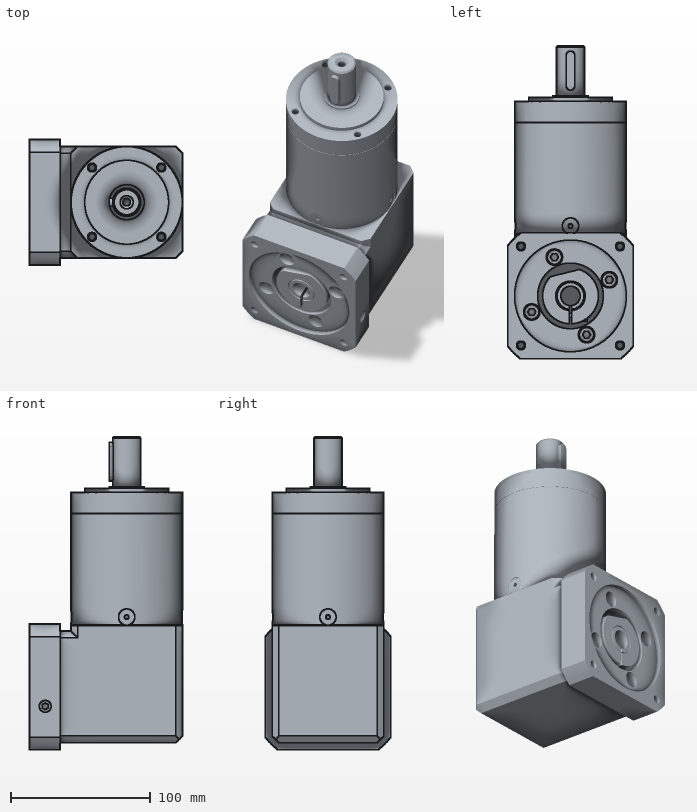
import cadquery as cq
import math


overall_height = 224.0
overall_length = 109.5
flange_side = 90.0
body_side = 80.0
body_radius = body_side / 2
flange_bottom_z = -flange_side / 2
shaft_top_z = flange_bottom_z + overall_height
input_face_x = body_radius - overall_length

housing_chamfer = 5.0
tower_top_z = 44.0

flange_thickness = 22.0
flange_corner_radius = 57.5
flange_back_x = input_face_x + flange_thickness
motor_pilot_radius = body_radius
motor_pilot_depth = 3.5
pilot_floor_x = input_face_x + motor_pilot_depth
motor_hole_spacing = 70.8
motor_hole_depth = 20.2

thread_core_radius = 2.5
thread_entry_chamfer = 0.7

flange_screw_circle_radius = 30.0
flange_screw_count = 4
flange_screw_first_angle = 22.5
flange_screw_hole_radius = 5.8
flange_screw_head_radius = 5.2
flange_screw_hole_depth = flange_thickness - motor_pilot_depth
flange_screw_head_depth = 6.7
flange_screw_hex_width = 5.0
flange_screw_hex_depth = 2.2

hub_radius = 20.0
hub_pocket_radius = 23.5
hub_flat_distance = 16.8
hub_flat_tilt = 14.0
sleeve_radius = 9.6
sleeve_groove_radius = 10.5
sleeve_groove_depth = 1.1
input_bore_radius = 7.0
input_bore_depth = 26.9
hub_slot_width = 2.0

clamp_screw_x = -58.2
clamp_screw_z = -14.0
clamp_hole_radius = 4.3
clamp_head_radius = 4.3
clamp_head_y = -11.9
clamp_shank_radius = 1.5
clamp_plug_recess = 2.2
clamp_plug_hex_width = 4.3
clamp_plug_hex_depth = 2.2

case_top_z = 139.0
case_seam_z = 123.6
seam_height = 0.7
seam_depth = 0.2
plug_height_above_tower = 6.0
plug_radius = 5.8
plug_recess = 0.7
plug_hole_radius = 1.5
plug_hole_depth = 2.2

output_pilot_radius = 30.0
output_pilot_height = 3.0
collar_radius = 12.5
collar_height = 1.1
output_hole_spacing = 49.5
output_hole_depth = 10.0

shaft_radius = 10.0
shaft_chamfer = 1.1
key_width = 6.0
key_length = 28.0
key_center_z = 161.0
key_outer_radius = 12.5
key_seat_radius = 6.0
center_hole_radius = 2.7
center_hole_depth = 13.5
center_sink_radius = 4.7
drill_tip_half_angle = 59.0


def cylinder_x(radius, start_x, length, y=0.0, z=0.0):
    """Cylinder that runs toward +X from start_x."""
    return cq.Workplane("YZ", origin=(start_x, y, z)).circle(radius).extrude(length)


def cylinder_y(radius, start_y, end_y, x, z):
    """Cylinder that runs along Y from start_y to end_y, with start_y below end_y."""
    plane = cq.Plane(origin=(x, start_y, z), xDir=(1, 0, 0), normal=(0, 1, 0))
    return cq.Workplane(plane).circle(radius).extrude(end_y - start_y)


def cylinder_z(radius, start_z, height):
    """Cylinder on the output axis that runs toward +Z from start_z."""
    return cq.Workplane("XY", origin=(0, 0, start_z)).circle(radius).extrude(height)


def box_between(low, high):
    """Box with opposite corners at low and high."""
    size = [b - a for a, b in zip(low, high)]
    return cq.Workplane("XY").box(*size, centered=False).translate(low)


def hexagon_diameter(width):
    """Corner-to-corner diameter of a hexagon with the given width across flats."""
    return width / math.cos(math.radians(30))


def threaded_hole_cutters(plane, spacing, depth):
    """Four holes with chamfered entries at the corners of a square, cut along the plane's normal."""
    chamfer_radius = thread_core_radius + thread_entry_chamfer
    corners = plane.rect(spacing, spacing, forConstruction=True).vertices()
    entry = cq.Solid.makeCone(chamfer_radius, thread_core_radius, thread_entry_chamfer)
    core = cq.Solid.makeCylinder(thread_core_radius, depth)
    cutter = core.fuse(entry)
    return corners.eachpoint(cutter, useLocalCoordinates=True)


def make_housing():
    """Chamfered input block with an upright square tower rising from it."""
    full_block = box_between(
        (flange_back_x, -body_radius, -body_radius), (body_radius, body_radius, body_radius)
    )
    block = full_block
    for edges in ("|X", "|Y and >X", "|Z and >X"):
        block = block.intersect(full_block.edges(edges).chamfer(housing_chamfer))
    tower = cq.Workplane("XY").rect(body_side, body_side).extrude(tower_top_z)
    tower = tower.edges("|Z").chamfer(housing_chamfer)
    return block.union(tower)


def make_flange():
    """Square motor flange with corners turned to a common radius."""
    square = cq.Workplane("YZ", origin=(input_face_x, 0, 0)).rect(flange_side, flange_side)
    square = square.extrude(flange_thickness)
    return square.intersect(cylinder_x(flange_corner_radius, input_face_x, flange_thickness))


def make_gear_case():
    """Round case with two seam grooves, the output pilot and the shaft collar."""
    case = cylinder_z(body_radius, tower_top_z, case_top_z - tower_top_z)
    for seam_z in (tower_top_z, case_seam_z):
        ring = cylinder_z(body_radius, seam_z, seam_height)
        case = case.cut(ring.cut(cylinder_z(body_radius - seam_depth, seam_z, seam_height)))
    pilot = cylinder_z(output_pilot_radius, case_top_z, output_pilot_height)
    collar = cylinder_z(collar_radius, case_top_z, output_pilot_height + collar_height)
    return case.union(pilot).union(collar)


def make_shaft():
    """Output shaft with a raised key on its -X side and a countersunk centre hole."""
    shaft = cylinder_z(shaft_radius, case_top_z, shaft_top_z - case_top_z)
    shaft = shaft.faces(">Z").edges().chamfer(shaft_chamfer)
    key = (
        cq.Workplane("YZ", origin=(-key_outer_radius, 0, key_center_z))
        .slot2D(key_length, key_width, 90)
        .extrude(key_outer_radius - key_seat_radius)
    )
    hole_bottom_z = shaft_top_z - center_hole_depth
    tip_length = center_hole_radius / math.tan(math.radians(drill_tip_half_angle))
    sink_depth = center_sink_radius - center_hole_radius
    hole = (
        cq.Workplane("XZ")
        .moveTo(0, hole_bottom_z - tip_length)
        .lineTo(center_hole_radius, hole_bottom_z)
        .lineTo(center_hole_radius, shaft_top_z - sink_depth)
        .lineTo(center_sink_radius, shaft_top_z)
        .lineTo(0, shaft_top_z)
        .close()
        .revolve(360, (0, 0), (0, 1))
    )
    return shaft.union(key).cut(hole)


def cut_case_plugs(part):
    """Sink four round flats, each with a small centre hole, into the foot of the gear case."""
    plug_z = tower_top_z + plug_height_above_tower
    floor_radius = body_radius - plug_recess
    plug = cylinder_x(plug_radius, floor_radius, 2 * plug_recess, z=plug_z)
    hole = cylinder_x(plug_hole_radius, floor_radius - plug_hole_depth, plug_hole_depth, z=plug_z)
    cutter = plug.union(hole)
    for angle in (0, 90, 180, 270):
        part = part.cut(cutter.rotate((0, 0, 0), (0, 0, 1), angle))
    return part


def cut_hub(part):
    """Cut the pilot recess and leave the slotted clamping hub standing in its pocket."""
    hub_length = flange_back_x - pilot_floor_x
    part = part.cut(cylinder_x(motor_pilot_radius, input_face_x, motor_pilot_depth))

    pocket = cylinder_x(hub_pocket_radius, pilot_floor_x, hub_length)
    part = part.cut(pocket.cut(cylinder_x(hub_radius, pilot_floor_x, hub_length)))

    flat = box_between(
        (pilot_floor_x, -hub_radius, hub_flat_distance),
        (flange_back_x, hub_radius, hub_radius),
    )
    flat = flat.rotate((0, 0, 0), (1, 0, 0), -hub_flat_tilt)
    part = part.cut(flat.intersect(pocket))

    groove = cylinder_x(sleeve_groove_radius, pilot_floor_x, sleeve_groove_depth)
    groove = groove.cut(cylinder_x(sleeve_radius, pilot_floor_x, sleeve_groove_depth))
    bore = cylinder_x(input_bore_radius, pilot_floor_x, input_bore_depth)
    slot = box_between(
        (pilot_floor_x, -hub_slot_width / 2, -hub_radius), (flange_back_x, hub_slot_width / 2, 0)
    )
    return part.cut(groove).cut(bore).cut(slot)


def add_clamp_screw(part):
    """Let the clamp screw stand out of the hub and cross its slot, and recess the plug."""
    head = cylinder_y(clamp_head_radius, clamp_head_y, -hub_slot_width, clamp_screw_x, clamp_screw_z)
    shank = cylinder_y(
        clamp_shank_radius, -hub_slot_width, hub_slot_width, clamp_screw_x, clamp_screw_z
    )
    plug_y = -flange_side / 2 + clamp_plug_recess
    recess = cylinder_y(clamp_hole_radius, -flange_side / 2, plug_y, clamp_screw_x, clamp_screw_z)
    socket_plane = cq.Plane(
        origin=(clamp_screw_x, plug_y, clamp_screw_z), xDir=(0, 0, 1), normal=(0, 1, 0)
    )
    socket = cq.Workplane(socket_plane).polygon(6, hexagon_diameter(clamp_plug_hex_width))
    socket = socket.extrude(clamp_plug_hex_depth)
    return part.union(head).union(shank).cut(recess).cut(socket)


def add_flange_screws(part):
    """Counterbore the pilot floor and leave a socket screw head in each hole."""
    head_x = pilot_floor_x + flange_screw_head_depth
    hole_end_x = pilot_floor_x + flange_screw_hole_depth
    for index in range(flange_screw_count):
        angle = math.radians(flange_screw_first_angle + index * 360 / flange_screw_count)
        y = -flange_screw_circle_radius * math.cos(angle)
        z = flange_screw_circle_radius * math.sin(angle)
        hole = cylinder_x(flange_screw_hole_radius, pilot_floor_x, flange_screw_hole_depth, y, z)
        head = cylinder_x(flange_screw_head_radius, head_x, hole_end_x - head_x, y, z)
        socket = cq.Workplane("YZ", origin=(head_x, y, z))
        socket = socket.polygon(6, hexagon_diameter(flange_screw_hex_width))
        socket = socket.extrude(flange_screw_hex_depth)
        part = part.cut(hole).union(head.cut(socket))
    return part


def cut_mounting_holes(part):
    """Drill the motor holes in the flange and the mounting holes in the output face."""
    motor_plane = cq.Workplane("YZ", origin=(input_face_x, 0, 0))
    output_plane = cq.Workplane(
        cq.Plane(origin=(0, 0, case_top_z), xDir=(1, 0, 0), normal=(0, 0, -1))
    )
    part = part.cut(threaded_hole_cutters(motor_plane, motor_hole_spacing, motor_hole_depth))
    return part.cut(threaded_hole_cutters(output_plane, output_hole_spacing, output_hole_depth))


result = make_housing().union(make_flange()).union(make_gear_case()).union(make_shaft())
result = cut_case_plugs(result)
result = cut_hub(result)
result = add_clamp_screw(result)
result = add_flange_screws(result)
result = cut_mounting_holes(result)